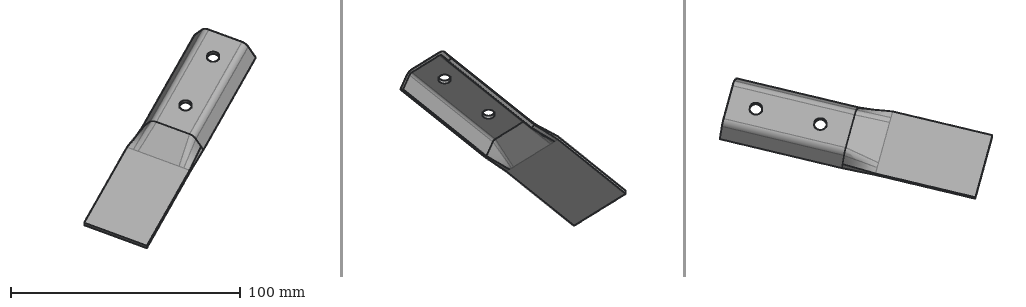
import cadquery as cq
import math

total_length = 115.0
handle_length = 55.0
transition_length = 15.1
blade_width = 30.0
sheet = 2.0
handle_height = 9.0
crown_width = 15.9
leg_angle = math.radians(59)
bend_radius = 3.6
blade_top_drop = 3.9
leg_break_height = 3.0
top_flat_width = 19.5
top_bend_width = 24.2
underside_step = 1.2
hole_diameter = 5.5
hole_end_distance = 12.5
hole_spacing = 29.0

blade_length = total_length - handle_length - transition_length
handle_start = total_length - handle_length
blade_bottom = handle_height - blade_top_drop - sheet
hole_positions = [
    (0, total_length - hole_end_distance),
    (0, total_length - hole_end_distance - hole_spacing),
]

bend_center_x = crown_width / 2
bend_center_z = handle_height - bend_radius
inner_radius = bend_radius - sheet


def bend_point(radius, angle):
    """Point on the right-hand bend, at an angle measured from straight up."""
    return (
        bend_center_x + radius * math.sin(angle),
        bend_center_z + radius * math.cos(angle),
    )


def leg_tip(radius):
    """Lower end of a leg face; the inner corner of the square-cut tip is at Z = 0."""
    x, z = bend_point(radius, leg_angle)
    inner_z = bend_point(inner_radius, leg_angle)[1]
    run = inner_z / math.sin(leg_angle)
    return (x + run * math.cos(leg_angle), z - run * math.sin(leg_angle))


def mirrored(point):
    """Same point on the left-hand side."""
    return (-point[0], point[1])


def channel_outline():
    """Corners of the right half of the channel, from the outer crown round to the inner crown."""
    outer_start = bend_point(bend_radius, 0)
    outer_end = bend_point(bend_radius, leg_angle)
    outer_tip = leg_tip(bend_radius)
    slope = (outer_tip[0] - outer_end[0]) / (outer_end[1] - outer_tip[1])
    leg_break = (outer_end[0] + slope * (outer_end[1] - leg_break_height), leg_break_height)
    inner_tip = leg_tip(inner_radius)
    inner_end = bend_point(inner_radius, leg_angle)
    inner_start = bend_point(inner_radius, 0)
    return [outer_start, outer_end, leg_break, outer_tip, inner_tip, inner_end, inner_start]


def blade_outline():
    """Points on the right half of the blade section that meet the channel corners in order."""
    side = blade_width / 2
    top = blade_bottom + sheet
    inner_tip_x = leg_tip(inner_radius)[0]
    return [
        (top_flat_width / 2, top),
        (top_bend_width / 2, top),
        (side, top),
        (side, blade_bottom),
        (inner_tip_x, blade_bottom),
        (inner_tip_x - underside_step, blade_bottom),
        (inner_tip_x - 2 * underside_step, blade_bottom),
    ]


def closed_profile(y, points, outer_middle=None, inner_middle=None):
    """Closed symmetric outline on the XZ plane; the two bends are arcs when their middles are given."""
    path = cq.Workplane("XZ", origin=(0, y, 0)).moveTo(*mirrored(points[0])).lineTo(*points[0])

    def bend(path, middle, end):
        return path.threePointArc(middle, end) if middle else path.lineTo(*end)

    path = bend(path, outer_middle, points[1])
    for point in points[2:-1]:
        path = path.lineTo(*point)
    path = bend(path, inner_middle, points[-1])

    left = [mirrored(point) for point in reversed(points)]
    path = path.lineTo(*left[0])
    path = bend(path, inner_middle and mirrored(inner_middle), left[1])
    for point in left[2:-1]:
        path = path.lineTo(*point)
    path = bend(path, outer_middle and mirrored(outer_middle), left[-1])
    return path.close()


def channel_profile(y):
    """Outline of the bent-sheet channel at the given Y."""
    return closed_profile(
        y,
        channel_outline(),
        outer_middle=bend_point(bend_radius, leg_angle / 2),
        inner_middle=bend_point(inner_radius, leg_angle / 2),
    )


def make_handle():
    """Channel-shaped handle with two holes through its crown."""
    channel = channel_profile(total_length).extrude(handle_length)
    holes = (
        cq.Workplane("XY")
        .pushPoints(hole_positions)
        .circle(hole_diameter / 2)
        .extrude(handle_height)
    )
    return channel.cut(holes)


def make_transition():
    """Neck blending from the channel outline to the flat blade section."""
    channel_wire = channel_profile(handle_start).wires().val()
    blade_wire = closed_profile(blade_length, blade_outline()).wires().val()
    return cq.Workplane(cq.Solid.makeLoft([channel_wire, blade_wire], True))


def make_blade():
    """Flat blade joined to the neck."""
    plate = (
        cq.Workplane("XY", origin=(0, 0, blade_bottom))
        .rect(blade_width, blade_length)
        .extrude(sheet)
        .translate((0, blade_length / 2, 0))
    )
    return plate.union(make_transition())


handle = make_handle()
blade = make_blade()
result = cq.Compound.makeCompound([handle.val(), blade.val()])